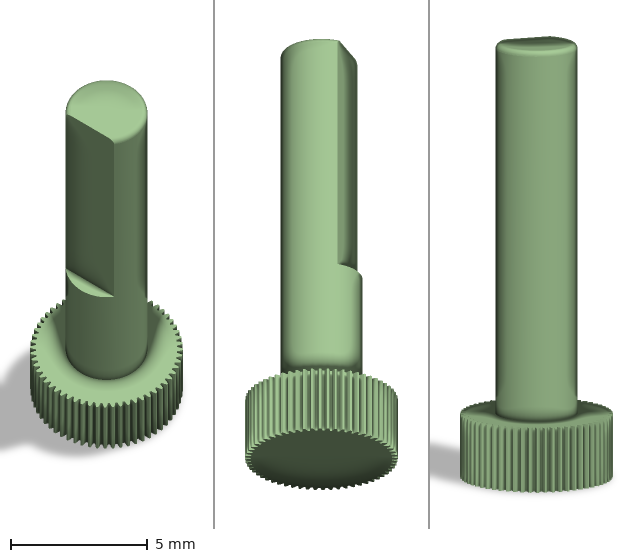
import cadquery as cq
import math

total_height = 16.2
gear_height = 2.4
shaft_diameter = 3.0

tooth_count = 60
tip_diameter = 5.57
pressure_angle = math.radians(20)
addendum_in_modules = 1.0
dedendum_in_modules = 1.25

flat_offset = 1.0
flat_length = 9.0
top_rounding = 0.2

shaft_radius = shaft_diameter / 2
shaft_length = total_height - gear_height
flat_depth = shaft_radius - flat_offset
module = tip_diameter / (tooth_count + 2 * addendum_in_modules)
pitch_radius = module * tooth_count / 2
tip_radius = tip_diameter / 2
root_radius = pitch_radius - dedendum_in_modules * module
base_radius = pitch_radius * math.cos(pressure_angle)
tooth_pitch_angle = 2 * math.pi / tooth_count


def polar_point(radius, angle):
    return radius * math.cos(angle), radius * math.sin(angle)


def involute(angle):
    return math.tan(angle) - angle


def half_tooth_angle(radius):
    """Half of the angle that one tooth spans at the given radius."""
    flank_angle = math.acos(base_radius / radius)
    return tooth_pitch_angle / 4 + involute(pressure_angle) - involute(flank_angle)


def gear_outline():
    """Closed ring of teeth, one pointing along +X; each flank is an arc close to the involute."""
    root_half = half_tooth_angle(root_radius)
    pitch_half = half_tooth_angle(pitch_radius)
    tip_half = half_tooth_angle(tip_radius)
    outline = cq.Workplane("XY").moveTo(*polar_point(root_radius, -root_half))
    for tooth in range(tooth_count):
        middle = tooth * tooth_pitch_angle
        gap_middle = middle + tooth_pitch_angle / 2
        next_tooth_start = middle + tooth_pitch_angle - root_half
        outline = (
            outline
            .threePointArc(
                polar_point(pitch_radius, middle - pitch_half),
                polar_point(tip_radius, middle - tip_half),
            )
            .threePointArc(polar_point(tip_radius, middle), polar_point(tip_radius, middle + tip_half))
            .threePointArc(
                polar_point(pitch_radius, middle + pitch_half),
                polar_point(root_radius, middle + root_half),
            )
            .threePointArc(polar_point(root_radius, gap_middle), polar_point(root_radius, next_tooth_start))
        )
    return outline.close()


def make_gear():
    """Toothed disc standing on the base plane."""
    return gear_outline().extrude(gear_height)


def make_shaft():
    """Round shaft standing on the gear, with a rounded top edge and a flat on its -Y side."""
    shaft = cq.Workplane("XY").workplane(offset=gear_height).circle(shaft_radius).extrude(shaft_length)
    shaft = shaft.faces(">Z").edges().fillet(top_rounding)
    flat_cutter = cq.Workplane("XY").box(shaft_diameter, flat_depth, flat_length, centered=(True, False, False))
    return shaft.cut(flat_cutter.translate((0, -shaft_radius, total_height - flat_length)))


gear = make_gear()
shaft = make_shaft()

result = cq.Compound.makeCompound([gear.val(), shaft.val()])